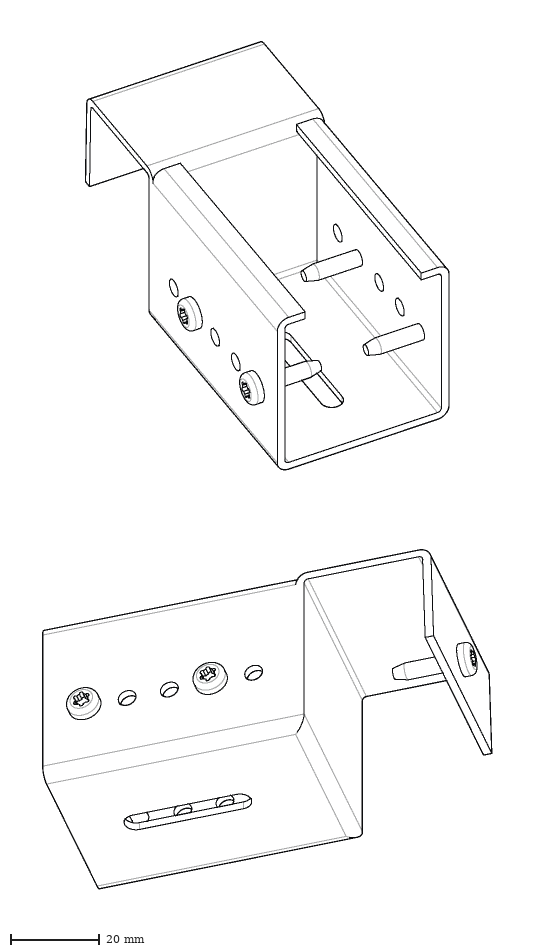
import cadquery as cq
import math

SHEET = 2.0
INNER_BEND = 1.0
OUTER_BEND = INNER_BEND + SHEET

OVERALL_LENGTH = 95.3
WIDTH = 44.0
HEIGHT = 44.3
FLANGE_WIDTH = 7.1
FLANGE_START = 1.7
BEND_START_Z = HEIGHT - OUTER_BEND

HOOK_BEND_X = -27.2
LIP_FLARE = 1.5
LIP_BOTTOM_Z = 18.3

HOLE_DIAMETER = 4.2
HOLE_FIRST_X = 12.0
HOLE_PITCH = 10.0
HOLE_COUNT = 5
HOLE_Z = 18.0
SCREWED_HOLES = (1, 4)
SLOT_CENTRE_X = 34.5
SLOT_LENGTH = 30.0
SLOT_WIDTH = 5.3

SCREW_LENGTH = 16.0
SHAFT_DIAMETER = 3.9
TIP_DIAMETER = 2.6
TIP_LENGTH = 3.0
HEAD_DIAMETER = 7.6
HEAD_HEIGHT = 2.8
HEAD_ROUND = 1.1
SOCKET_LOBES = 6
SOCKET_OUTER_RADIUS = 2.0
SOCKET_INNER_RADIUS = 1.5
SOCKET_LOBE_WIDTH = 0.9
SOCKET_DEPTH = 1.9
LIP_SCREW_Z = 28.4


def lip_x(radius, z):
    """X of the lip face that is tangent to the hook bend of this radius, at height z."""
    flare = math.radians(LIP_FLARE)
    return HOOK_BEND_X - radius / math.cos(flare) + (z - BEND_START_Z) * math.tan(flare)


LIP_SCREW_SEAT_X = lip_x(OUTER_BEND, LIP_SCREW_Z)
LENGTH = OVERALL_LENGTH + LIP_SCREW_SEAT_X - HEAD_HEIGHT


def tray(offset, radius):
    """Solid block inset by offset from the channel's outside, with rounded front and side bottom edges."""
    return (
        cq.Workplane("XY")
        .box(LENGTH - offset, WIDTH - 2 * offset, BEND_START_Z - offset, centered=(False, True, False))
        .translate((offset, 0, offset))
        .faces("<Z")
        .edges("|X or <X")
        .fillet(radius)
    )


def make_flange():
    """Inward-bent flange along the top of the +Y side wall."""
    wall_y = WIDTH / 2
    bend_y = wall_y - OUTER_BEND
    edge_y = wall_y - FLANGE_WIDTH
    diagonal = math.sqrt(0.5)
    return (
        cq.Workplane("YZ", origin=(FLANGE_START, 0, 0))
        .moveTo(wall_y, BEND_START_Z)
        .threePointArc(
            (bend_y + OUTER_BEND * diagonal, BEND_START_Z + OUTER_BEND * diagonal),
            (bend_y, HEIGHT),
        )
        .lineTo(edge_y, HEIGHT)
        .lineTo(edge_y, HEIGHT - SHEET)
        .lineTo(bend_y, HEIGHT - SHEET)
        .threePointArc(
            (bend_y + INNER_BEND * diagonal, BEND_START_Z + INNER_BEND * diagonal),
            (wall_y - SHEET, BEND_START_Z),
        )
        .close()
        .extrude(LENGTH - FLANGE_START)
    )


def make_channel():
    flange = make_flange()
    shell = tray(0, OUTER_BEND).cut(tray(SHEET, INNER_BEND))
    return shell.union(flange).union(flange.mirror("XZ"))


def hook_point(centre_x, radius, angle):
    """XZ point on a hook bend, with the angle in degrees measured from +X towards +Z."""
    turn = math.radians(angle)
    return (centre_x + radius * math.cos(turn), BEND_START_Z + radius * math.sin(turn))


def make_hook():
    lip_angle = 180 - LIP_FLARE
    lip_mid_angle = (90 + lip_angle) / 2
    wall_bend_x = SHEET - OUTER_BEND
    return (
        cq.Workplane("XZ")
        .moveTo(0, BEND_START_Z)
        .lineTo(SHEET, BEND_START_Z)
        .threePointArc(hook_point(wall_bend_x, OUTER_BEND, 45), (wall_bend_x, HEIGHT))
        .lineTo(HOOK_BEND_X, HEIGHT)
        .threePointArc(
            hook_point(HOOK_BEND_X, OUTER_BEND, lip_mid_angle),
            hook_point(HOOK_BEND_X, OUTER_BEND, lip_angle),
        )
        .lineTo(lip_x(OUTER_BEND, LIP_BOTTOM_Z), LIP_BOTTOM_Z)
        .lineTo(lip_x(INNER_BEND, LIP_BOTTOM_Z), LIP_BOTTOM_Z)
        .lineTo(*hook_point(HOOK_BEND_X, INNER_BEND, lip_angle))
        .threePointArc(
            hook_point(HOOK_BEND_X, INNER_BEND, lip_mid_angle),
            (HOOK_BEND_X, HEIGHT - SHEET),
        )
        .lineTo(wall_bend_x, HEIGHT - SHEET)
        .threePointArc(hook_point(wall_bend_x, INNER_BEND, 45), (0, BEND_START_Z))
        .close()
        .extrude(WIDTH / 2, both=True)
    )


def make_socket():
    """Six-lobed recess cutter that reaches down from the top of a screw head, one lobe along +Y."""
    socket = cq.Workplane("XY").circle(SOCKET_INNER_RADIUS).extrude(SOCKET_DEPTH)
    lobe = (
        cq.Workplane("XY")
        .slot2D(2 * SOCKET_OUTER_RADIUS, SOCKET_LOBE_WIDTH, 90)
        .extrude(SOCKET_DEPTH)
    )
    for index in range(SOCKET_LOBES // 2):
        socket = socket.union(lobe.rotate((0, 0, 0), (0, 0, 1), index * 360 / SOCKET_LOBES))
    return socket.translate((0, 0, HEAD_HEIGHT - SOCKET_DEPTH))


def make_screw():
    """Screw on the Z axis: head above Z = 0, shaft and tapered tip below."""
    body = (
        cq.Workplane("XZ")
        .lineTo(0, HEAD_HEIGHT)
        .lineTo(HEAD_DIAMETER / 2, HEAD_HEIGHT)
        .lineTo(HEAD_DIAMETER / 2, 0)
        .lineTo(SHAFT_DIAMETER / 2, 0)
        .lineTo(SHAFT_DIAMETER / 2, TIP_LENGTH - SCREW_LENGTH)
        .lineTo(TIP_DIAMETER / 2, -SCREW_LENGTH)
        .lineTo(0, -SCREW_LENGTH)
        .close()
        .revolve(360, (0, 0, 0), (0, 1, 0))
    )
    return body.faces(">Z").edges().fillet(HEAD_ROUND).cut(make_socket())


def hole_x(index):
    return HOLE_FIRST_X + index * HOLE_PITCH


def cut_side_holes(body):
    for index in range(HOLE_COUNT):
        if index not in SCREWED_HOLES:
            hole = (
                cq.Workplane("XZ", origin=(hole_x(index), 0, HOLE_Z))
                .circle(HOLE_DIAMETER / 2)
                .extrude(WIDTH, both=True)
            )
            body = body.cut(hole)
    return body


def cut_floor_slot(body):
    slot = (
        cq.Workplane("XY")
        .center(SLOT_CENTRE_X, 0)
        .slot2D(SLOT_LENGTH, SLOT_WIDTH)
        .extrude(2 * SHEET, both=True)
    )
    return body.cut(slot)


def add_side_screws(body):
    """Screws through both side walls, with a socket lobe pointing up."""
    front_screw = make_screw().rotate((0, 0, 0), (1, 0, 0), 90).translate((0, -WIDTH / 2, HOLE_Z))
    for index in SCREWED_HOLES:
        screw = front_screw.translate((hole_x(index), 0, 0))
        body = body.union(screw).union(screw.mirror("XZ"))
    return body


def add_lip_screw(body):
    """Horizontal screw through the lip."""
    screw = (
        make_screw()
        .rotate((0, 0, 0), (0, 0, 1), 90)
        .rotate((0, 0, 0), (0, 1, 0), -90)
        .translate((LIP_SCREW_SEAT_X, 0, LIP_SCREW_Z))
    )
    return body.union(screw)


bracket = make_channel().union(make_hook())
bracket = cut_floor_slot(cut_side_holes(bracket))
result = add_lip_screw(add_side_screws(bracket))